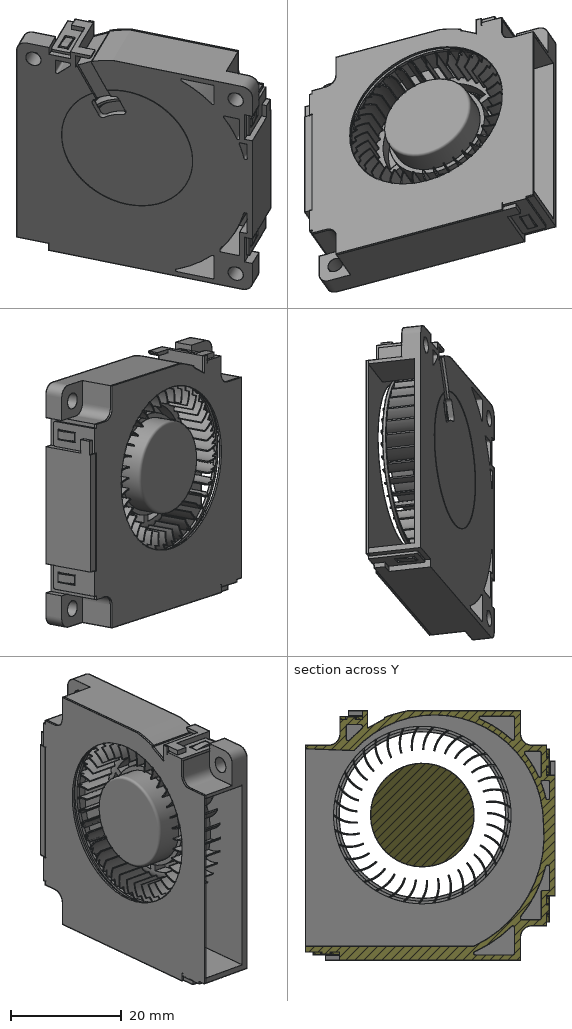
import cadquery as cq
import math

SIZE = 45.0
HALF = SIZE / 2
DEPTH = 10.3
COVER_T = 0.4
CASE_D = DEPTH - COVER_T
FRONT_T = 1.2
WALL = 1.0

AXIS_X = -1.43
AXIS_Z = 3.69

LUG_T = 3.6
LUG_SIZE = 6.2
LUG_EDGE = HALF - LUG_SIZE
LUG_COVE_R = 2.0
CORNER_R = 2.0
HOLE_D = 2.9
HOLE_POS = HALF - 3.2

ROOF_X = 0.76
ROOF_Z = 2.1
ROOF_R = 19.63
SCROLL_SIDE = (16.46, -12.76)
SCROLL_END_X = 7.84
OUTLET_TOP = 15.62
THROAT_Z = 15.3
OUTLET_BOTTOM = -19.95

LEAD_ANGLE = 118.7
LEAD_OFFSET = -0.85
CHANNEL_W = 3.07
CHANNEL_DEPTH = 0.5
CHANNEL_END = 18.5
WINDOW_W = 5.45
WINDOW_R_IN = 7.2
WINDOW_R_OUT = 11.1
WINDOW_CORNER_R = 0.7
GAP_X_LEFT = -11.3
GAP_X_RIGHT = -8.25
SHOULDER_MID = (-6.2, 22.0)
SHOULDER_START_X = -4.1
SHOULDER_Z = 21.3
HOOK_DEPTH = 2.05
HOOK_T = 0.65
HOOK_CHAMFER = 0.4

LABEL_R = 12.5
LABEL_DEPTH = 0.1

POST_R = 3.2

NOTCH_DEPTH = 1.5
RIM = HALF - NOTCH_DEPTH
NOTCH_NEAR = 10.9
TOP_NOTCH_RIGHT = -12.25
BOTTOM_NOTCH_RIGHT = -16.4
TONGUE_T = 0.5
TONGUE_W = 4.65
TOP_TONGUE_W = 4.0
TONGUE_GAP = 0.05
TONGUE_Y = 1.0
TONGUE_CORNER_R = 0.4
CATCH_W = 1.5
CATCH_H = 0.7
CATCH_Y0 = 2.2
CATCH_Y1 = 5.6
CATCH_FLAT = 1.15
CATCH_DROP = 0.35
CATCH_CLEARANCE = 0.2
KEEPER_W = 2.55
KEEPER_Y = 7.85
KEEPER_GAP = 0.1
RIM_LIP = 0.25

POCKET_EDGE = HALF - WALL
POCKET_LUG = 15.16
POCKET_NOTCH = RIM - WALL
POCKET_SIDE_END = 6.5
POCKET_SLOT_END = 5.4
POCKET_R = 0.25
POCKET_SMALL = [(-15.1, 20.0), (-12.25, 20.0), (-12.25, 19.4), (-14.6, 17.15), (-15.1, 17.15)]

INLET_R = 15.0
BLADE_COUNT = 37
BLADE_R_OUT = 16.0
BLADE_R_IN = 11.8
BLADE_SWEEP = 6.5
BLADE_BOW = 1.5
BLADE_T = 0.25
BLADE_Y0 = 1.92
BAND_Y0 = 8.19
BAND_Y1 = 8.77
BAND_R_IN = 15.5
TIP_R = 14.34
TIP_Y = 9.6
HUB_R = 8.5
HUB_TOP = 9.85
HUB_EDGE_R = 0.5
HUB_FOOT_R = 9.35
HUB_FOOT_TOP = 5.4
HUB_BORE_R = 8.9
HUB_BORE_R_IN = 8.05
HUB_BORE_END = 4.4
RING_R_IN = 11.0
RING_R_OUT = 13.2
RING_TOP = 4.4
RING_ROUND = 1.85
SPOKE_COUNT = 6
SPOKE_W = 1.2
SPOKE_START = LEAD_ANGLE + 180.0 / SPOKE_COUNT
SPOKE_OVERLAP = 0.3


def plane(y):
    """Workplane facing the front at depth y, with local x = X and local y = Z."""
    return cq.Workplane("XZ", origin=(0, y, 0))


def box(x0, x1, y0, y1, z0, z1):
    return cq.Workplane("XY").box(x1 - x0, y1 - y0, z1 - z0, centered=False).translate((x0, y0, z0))


def disc(radius, y0, y1):
    return plane(y0).center(AXIS_X, AXIS_Z).circle(radius).extrude(y0 - y1)


def on_axis(shape):
    return shape.translate((AXIS_X, 0, AXIS_Z))


def lead_frame(shape):
    """Turn a shape drawn along +X so that it runs along the lead channel."""
    return on_axis(shape.translate((0, 0, LEAD_OFFSET)).rotate((0, 0, 0), (0, 1, 0), -LEAD_ANGLE))


def to_top(shape):
    return shape.translate((TOP_NOTCH_RIGHT - TONGUE_GAP - TOP_TONGUE_W / 2, 0, RIM))


def to_bottom(shape):
    turned = shape.mirror("XY")
    return turned.translate((BOTTOM_NOTCH_RIGHT - TONGUE_GAP - TONGUE_W / 2, 0, -RIM))


def to_right_upper(shape):
    return shape.rotate((0, 0, 0), (0, 1, 0), 90).translate((RIM, 0, NOTCH_NEAR + TONGUE_GAP + TONGUE_W / 2))


def to_right_lower(shape):
    return to_right_upper(shape).mirror("XY")


LATCHES = [
    (to_top, TOP_TONGUE_W, True),
    (to_bottom, TONGUE_W, True),
    (to_right_upper, TONGUE_W, True),
    (to_right_lower, TONGUE_W, False),
]


def tongue(width):
    """Cover tongue reaching forward along the notch floor, with a window for the catch."""
    body = box(-width / 2, width / 2, TONGUE_Y, DEPTH, 0, TONGUE_T)
    half_w = CATCH_W / 2 + CATCH_CLEARANCE
    window = box(-half_w, half_w, CATCH_Y0 - CATCH_CLEARANCE, CATCH_Y1 + CATCH_CLEARANCE, 0, TONGUE_T)
    return body.faces("<Y").edges("|Z").fillet(TONGUE_CORNER_R).cut(window)


def catch():
    """Catch that stands through the tongue window, with a ramp on its rear side."""
    side = [
        (CATCH_Y0, -WALL / 2),
        (CATCH_Y1, -WALL / 2),
        (CATCH_Y1, CATCH_H - CATCH_DROP),
        (CATCH_Y0 + CATCH_FLAT, CATCH_H),
        (CATCH_Y0, CATCH_H),
    ]
    return cq.Workplane("YZ").polyline(side).close().extrude(CATCH_W / 2, both=True)


def keeper(width):
    """Block over the tongue, joined to the end wall of the notch."""
    end = width / 2 + 2 * TONGUE_GAP
    return box(end - KEEPER_W, end, KEEPER_Y, CASE_D, TONGUE_T + KEEPER_GAP, NOTCH_DEPTH)


def scroll_outline(y):
    left = -HALF
    roof_end = ROOF_X - math.sqrt(ROOF_R ** 2 - (THROAT_Z - ROOF_Z) ** 2)
    return (
        plane(y)
        .moveTo(left, OUTLET_TOP)
        .lineTo(roof_end, THROAT_Z)
        .threePointArc((ROOF_X, ROOF_Z + ROOF_R), (ROOF_X + ROOF_R, ROOF_Z))
        .threePointArc(SCROLL_SIDE, (SCROLL_END_X, OUTLET_BOTTOM))
        .lineTo(left, OUTLET_BOTTOM)
        .close()
    )


def lead_gap():
    """Opening through the top edge where the leads leave, bounded by the end of the channel."""
    slope = math.tan(math.radians(LEAD_ANGLE - 90))
    angle = math.radians(LEAD_ANGLE)
    end_x = AXIS_X + CHANNEL_END * math.cos(angle) - LEAD_OFFSET * math.sin(angle)
    end_z = AXIS_Z + CHANNEL_END * math.sin(angle) + LEAD_OFFSET * math.cos(angle)
    left_z = end_z + (GAP_X_LEFT - end_x) * slope
    right_z = end_z + (GAP_X_RIGHT - end_x) * slope
    return (
        plane(0)
        .moveTo(GAP_X_LEFT, HALF)
        .lineTo(GAP_X_LEFT, left_z)
        .lineTo(GAP_X_RIGHT, right_z)
        .lineTo(GAP_X_RIGHT, SHOULDER_Z)
        .threePointArc(SHOULDER_MID, (SHOULDER_START_X, HALF))
        .close()
        .extrude(-DEPTH)
    )


def lug_clearance(sign_x, sign_z):
    """Corner space behind a lug, with a cove on its inner edge."""
    block = box(LUG_EDGE, SIZE, LUG_T, DEPTH, LUG_EDGE, SIZE)
    block = block.edges("<X and <Z").fillet(LUG_COVE_R)
    if sign_x < 0:
        block = block.mirror("YZ")
    if sign_z < 0:
        block = block.mirror("XY")
    return block


LUGS = [(-1, 1), (1, 1), (1, -1)]


def notches():
    upper = box(RIM, HALF, 0, DEPTH, NOTCH_NEAR, LUG_EDGE)
    lower = upper.mirror("XY")
    top = box(-LUG_EDGE, TOP_NOTCH_RIGHT, 0, DEPTH, RIM, HALF)
    bottom = box(-HALF, BOTTOM_NOTCH_RIGHT, 0, DEPTH, -HALF, -RIM)
    return [upper, lower, top, bottom]


def pockets():
    """Blind pockets open to the front, bounded by the outside of the scroll wall."""
    edge = POCKET_EDGE
    depth = CASE_D - WALL
    pier = NOTCH_NEAR - WALL
    regions = [
        box(0, POCKET_LUG, 0, depth, LUG_EDGE, edge),
        box(LUG_EDGE, POCKET_NOTCH, 0, depth, ROOF_Z, POCKET_LUG),
        box(LUG_EDGE, edge, 0, depth, POCKET_SIDE_END, pier),
        box(LUG_EDGE, edge, 0, depth, -pier, -POCKET_SLOT_END).union(
            box(LUG_EDGE, POCKET_NOTCH, 0, depth, -POCKET_LUG, -pier)
        ),
        box(SCROLL_END_X, POCKET_LUG, 0, depth, -edge, -LUG_EDGE),
    ]
    scroll_wall = scroll_outline(0).offset2D(WALL).extrude(-DEPTH)
    shapes = [region.cut(scroll_wall) for region in regions]
    shapes.append(plane(0).polyline(POCKET_SMALL).close().extrude(-depth))
    return [shape.edges("|Y").fillet(POCKET_R) for shape in shapes]


def lead_channel():
    channel = box(WINDOW_R_IN, CHANNEL_END, 0, CHANNEL_DEPTH, -CHANNEL_W / 2, CHANNEL_W / 2)
    return lead_frame(channel)


def lead_window():
    strip = lead_frame(box(0, HALF, 0, FRONT_T, -WINDOW_W / 2, WINDOW_W / 2))
    band = disc(WINDOW_R_OUT, 0, FRONT_T).cut(disc(WINDOW_R_IN, 0, FRONT_T))
    return strip.intersect(band).edges("|Y").fillet(WINDOW_CORNER_R)


def lead_hook():
    hook = box(GAP_X_LEFT, GAP_X_RIGHT, 0, HOOK_DEPTH, HALF - HOOK_T, HALF)
    return hook.edges(">X and <Z").chamfer(HOOK_CHAMFER)


def make_housing():
    body = box(-HALF, HALF, 0, CASE_D, -HALF, HALF)
    body = body.union(box(RIM, HALF, CASE_D, CASE_D + RIM_LIP, -LUG_EDGE, LUG_EDGE))
    for sign_x, sign_z in LUGS:
        side = ">X" if sign_x > 0 else "<X"
        end = ">Z" if sign_z > 0 else "<Z"
        body = body.cut(lug_clearance(sign_x, sign_z))
        body = body.edges(f"|Y and {side} and {end}").fillet(CORNER_R)
        hole = plane(0).center(sign_x * HOLE_POS, sign_z * HOLE_POS).circle(HOLE_D / 2).extrude(-LUG_T)
        body = body.cut(hole)
    body = body.cut(scroll_outline(FRONT_T).extrude(FRONT_T - CASE_D))
    body = body.union(disc(POST_R, FRONT_T, HUB_BORE_END))
    for cutter in notches() + pockets():
        body = body.cut(cutter)
    body = body.cut(lead_gap()).union(lead_hook())
    body = body.cut(disc(LABEL_R, 0, LABEL_DEPTH)).cut(lead_channel()).cut(lead_window())
    for place, width, has_keeper in LATCHES:
        body = body.union(place(catch()))
        if has_keeper:
            body = body.union(place(keeper(width)))
    return body


def make_cover():
    plate = box(-HALF, RIM, CASE_D, DEPTH, -HALF, HALF).cut(lead_gap())
    for sign_x, sign_z in LUGS:
        plate = plate.cut(lug_clearance(sign_x, sign_z))
    for notch in notches():
        plate = plate.cut(notch)
    plate = plate.cut(disc(INLET_R, CASE_D, DEPTH))
    for place, width, _ in LATCHES:
        plate = plate.union(place(tongue(width)))
    return plate


def revolve_profile(points):
    return cq.Workplane("XY").polyline(points).close().revolve(360, (0, 0, 0), (0, 1, 0))


def hub():
    outline = [
        (0, HUB_TOP),
        (HUB_R, HUB_TOP),
        (HUB_R, HUB_FOOT_TOP),
        (HUB_FOOT_R, HUB_FOOT_TOP),
        (HUB_FOOT_R, BLADE_Y0),
        (HUB_BORE_R, BLADE_Y0),
        (HUB_BORE_R_IN, HUB_BORE_END),
        (0, HUB_BORE_END),
    ]
    return revolve_profile(outline).faces(">Y").edges().fillet(HUB_EDGE_R)


def ring(r_in, r_out, y0, y1):
    return plane(y0).circle(r_out).circle(r_in).extrude(y0 - y1)


def base_ring():
    body = ring(RING_R_IN, RING_R_OUT, BLADE_Y0, RING_TOP)
    return body.faces(">Y").edges("%CIRCLE").edges(cq.selectors.RadiusNthSelector(-1)).fillet(RING_ROUND)


def spoke(angle):
    start = HUB_FOOT_R - SPOKE_OVERLAP
    end = RING_R_IN + SPOKE_OVERLAP
    bar = box(start, end, BLADE_Y0, RING_TOP, -SPOKE_W / 2, SPOKE_W / 2)
    return bar.rotate((0, 0, 0), (0, 1, 0), -angle)


def polar(radius, degrees):
    angle = math.radians(degrees)
    return (radius * math.cos(angle), radius * math.sin(angle))


def blade():
    """Curved blade ending on the -X side, stepped in above the band."""
    mid_r = (BLADE_R_IN + BLADE_R_OUT) / 2
    mid_a = 180 + BLADE_SWEEP / 2 + BLADE_BOW
    inner_a = 180 + BLADE_SWEEP

    half_turn = math.degrees(BLADE_T / 2 / mid_r)

    def edge(turn):
        outer = polar(BLADE_R_OUT, 180 + turn)
        middle = polar(mid_r, mid_a + turn)
        inner = polar(BLADE_R_IN, inner_a + turn)
        return outer, middle, inner

    first = edge(-half_turn)
    second = edge(half_turn)
    body = (
        plane(BLADE_Y0)
        .moveTo(*first[0])
        .threePointArc(first[1], first[2])
        .lineTo(*second[2])
        .threePointArc(second[1], second[0])
        .close()
        .extrude(BLADE_Y0 - TIP_Y)
    )
    return body.cut(ring(TIP_R, BLADE_R_OUT + WALL, BAND_Y1, TIP_Y))


def make_impeller():
    parts = [base_ring(), ring(BAND_R_IN, BLADE_R_OUT, BAND_Y0, BAND_Y1)]
    for index in range(SPOKE_COUNT):
        parts.append(spoke(SPOKE_START + index * 360 / SPOKE_COUNT))
    single = blade()
    for index in range(BLADE_COUNT):
        parts.append(single.rotate((0, 0, 0), (0, 1, 0), index * 360 / BLADE_COUNT))
    solid = hub().val().fuse(*[part.val() for part in parts])
    return on_axis(cq.Workplane(obj=solid))


housing = make_housing()
cover = make_cover()
impeller = make_impeller()

bodies = [*housing.solids().vals(), *cover.solids().vals(), *impeller.solids().vals()]
result = cq.Compound.makeCompound(bodies)